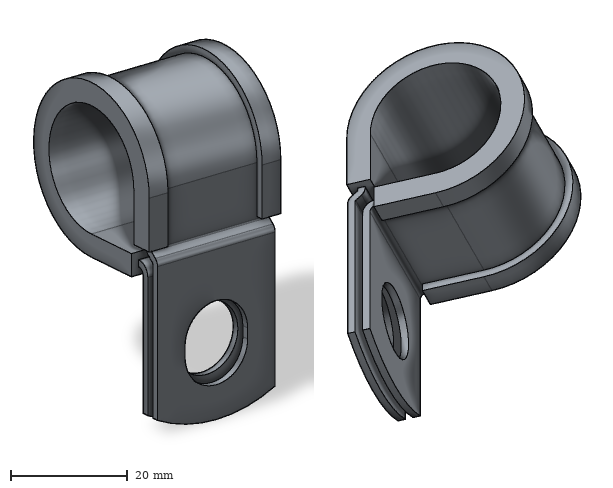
import cadquery as cq
import math

overall_height = 60.6
clamp_width = 28.5
cushion_outer_radius = 16.2
cushion_inner_radius = 11.9
cushion_drop = 10.0
cushion_reach = 11.2
rim_width = 4.05

strap_radius = 14.7
strap_thickness = 1.35
strap_width = 25.45
bend_radius = 1.1
inner_flange_face = 13.8
outer_flange_face = 16.55
jog_top = -10.4
jog_radius = 0.35
jog_angle = 50.0
flange_bottom = cushion_outer_radius - overall_height

hole_diameter = 13.5
hole_height = -30.2
slot_extension = 1.0
end_sagitta = 3.0

groove_width = clamp_width - 2 * rim_width
strap_inner_radius = strap_radius - strap_thickness


def extrude_centred(profile, width):
    return profile.extrude(width / 2, both=True)


def loop(outer, inner, width):
    """Three-quarter ring with a straight side and a straight floor."""
    diagonal = math.sqrt(0.5)
    profile = (
        cq.Workplane("XZ")
        .moveTo(outer, -cushion_drop)
        .lineTo(outer, 0)
        .threePointArc((-outer * diagonal, outer * diagonal), (0, -outer))
        .lineTo(cushion_reach, -outer)
        .lineTo(cushion_reach, -inner)
        .lineTo(0, -inner)
        .threePointArc((-inner * diagonal, inner * diagonal), (inner, 0))
        .lineTo(inner, -cushion_drop)
        .close()
    )
    return extrude_centred(profile, width)


def inner_flange():
    """Strap end leaving the floor and bending straight down."""
    inside_face = inner_flange_face - strap_thickness
    outside_bend = bend_radius + strap_thickness
    bend_x = inside_face - bend_radius
    bend_z = -strap_radius - bend_radius
    diagonal = math.sqrt(0.5)
    profile = (
        cq.Workplane("XZ")
        .moveTo(cushion_reach, -strap_inner_radius)
        .lineTo(bend_x, -strap_inner_radius)
        .threePointArc(
            (bend_x + outside_bend * diagonal, bend_z + outside_bend * diagonal),
            (inner_flange_face, bend_z),
        )
        .lineTo(inner_flange_face, flange_bottom)
        .lineTo(inside_face, flange_bottom)
        .lineTo(inside_face, bend_z)
        .threePointArc(
            (bend_x + bend_radius * diagonal, bend_z + bend_radius * diagonal),
            (bend_x, -strap_radius),
        )
        .lineTo(cushion_reach, -strap_radius)
        .close()
    )
    return extrude_centred(profile, strap_width)


def outer_flange():
    """Strap end leaving the straight side and jogging outwards in an S-bend."""
    inside_face = outer_flange_face - strap_thickness
    wide_radius = jog_radius + strap_thickness
    angle = math.radians(jog_angle)
    half_angle = angle / 2
    arcs_offset = (jog_radius + wide_radius) * (1 - math.cos(angle))
    slope_length = (outer_flange_face - strap_radius - arcs_offset) / math.sin(angle)
    jog_height = (jog_radius + wide_radius) * math.sin(angle) + slope_length * math.cos(angle)
    jog_bottom = jog_top - jog_height
    upper_centre_x = strap_radius + jog_radius
    lower_centre_x = inside_face - jog_radius

    def upper_point(radius, turn):
        return (upper_centre_x - radius * math.cos(turn), jog_top - radius * math.sin(turn))

    def lower_point(radius, turn):
        return (lower_centre_x + radius * math.cos(turn), jog_bottom + radius * math.sin(turn))

    profile = (
        cq.Workplane("XZ")
        .moveTo(strap_radius, -cushion_drop)
        .lineTo(strap_radius, jog_top)
        .threePointArc(upper_point(jog_radius, half_angle), upper_point(jog_radius, angle))
        .lineTo(*lower_point(wide_radius, angle))
        .threePointArc(lower_point(wide_radius, half_angle), lower_point(wide_radius, 0))
        .lineTo(outer_flange_face, flange_bottom)
        .lineTo(inside_face, flange_bottom)
        .lineTo(inside_face, jog_bottom)
        .threePointArc(lower_point(jog_radius, half_angle), lower_point(jog_radius, angle))
        .lineTo(*upper_point(wide_radius, angle))
        .threePointArc(upper_point(wide_radius, half_angle), upper_point(wide_radius, 0))
        .lineTo(strap_inner_radius, -cushion_drop)
        .close()
    )
    return extrude_centred(profile, strap_width)


def flange_outline():
    """Prism along X with the rounded lower end shared by both flanges."""
    half_width = strap_width / 2
    corner_z = flange_bottom + end_sagitta
    return (
        cq.Workplane("YZ")
        .moveTo(-half_width, 0)
        .lineTo(-half_width, corner_z)
        .threePointArc((0, flange_bottom), (half_width, corner_z))
        .lineTo(half_width, 0)
        .close()
        .extrude(outer_flange_face)
    )


def round_hole():
    return (
        cq.Workplane("YZ")
        .center(0, hole_height)
        .circle(hole_diameter / 2)
        .extrude(outer_flange_face)
    )


def slotted_hole():
    slot_length = hole_diameter + 2 * slot_extension
    return (
        cq.Workplane("YZ")
        .center(0, hole_height)
        .slot2D(slot_length, hole_diameter, 90)
        .extrude(outer_flange_face)
    )


cushion = loop(cushion_outer_radius, cushion_inner_radius, clamp_width)
groove = loop(cushion_outer_radius, strap_radius, groove_width)
round_flange = inner_flange().cut(round_hole())
slotted_flange = outer_flange().cut(slotted_hole())
flanges = round_flange.union(slotted_flange).intersect(flange_outline())
result = cushion.cut(groove).union(flanges)